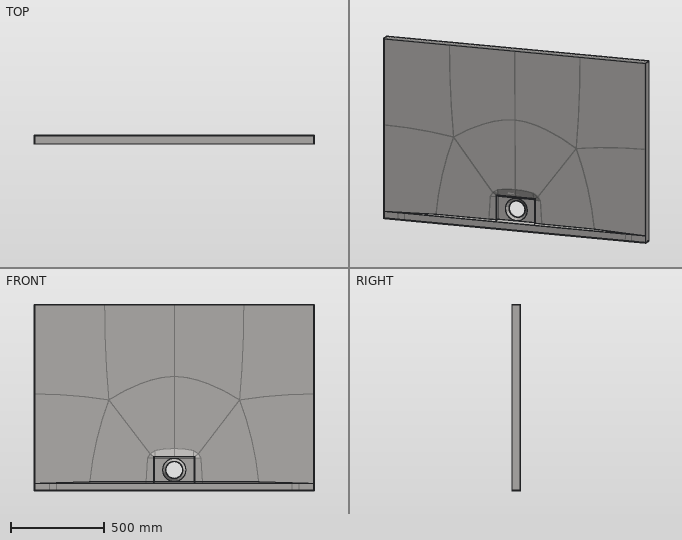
import cadquery as cq

width = 1500.0
height = 1000.0
depth = 48.0
rim_wall = 5.0
floor_wall = 4.0
edge_radius = 4.0

half_inner = width / 2 - rim_wall
inner_top = height - rim_wall

step_foot = 41.0
step_top = 50.0

ridge_rise = 3.0
arc_rise = 4.0
step_rise = 7.0
flare_rise = 10.0
box_foot_rise = 15.0
box_rise = 25.0
outlet_rise = 37.0

hub_x = -350.0
hub_z = 488.0
side_joint_z = 520.0
step_joint_x = -452.0
arc_top_z = 613.0

flare_foot_x = -151.0
flare_side_x = -143.0
flare_corner_x = -129.0
flare_corner_z = 199.0
flare_shoulder_x = -102.0
flare_shoulder_z = 217.0
flare_top_z = 227.0

upright_bend = (-367.0, 740.0, 1.5)
side_bend = (-540.0, 511.0, 1.5)
lower_bend = (-416.0, 270.0, 5.0)
crown_bend = (-180.0, 575.0, arc_rise)
crown_start_direction = cq.Vector(3, 0, 2)
flare_crown_bend = (-50.0, 225.0, flare_rise)

box_half = 105.0
box_top = 177.0
box_side_draft = 6.0
box_top_draft = 9.0
box_foot_half = box_half + box_side_draft
box_foot_top = box_top + box_top_draft

outlet_z = 113.0
outlet_base_radius = 62.0
outlet_tip_radius = 46.0
outlet_hole_radius = 44.5

wedge_rise = 2.5
wedge_end_rise = 1.0
wedge_flat_half = 630.0
wedge_end_half = 667.0


def point(x, z, rise=0.0):
    return cq.Vector(x, -floor_wall - rise, z)


def line(a, b):
    return cq.Edge.makeLine(a, b)


def bow(a, through, b):
    return cq.Edge.makeThreePointArc(a, through, b)


def patch(*edges):
    """Smooth face filling a closed loop of edges."""
    return cq.Face.makeNSidedSurface(list(edges), [])


def flat(*corners):
    """Planar polygon face."""
    return cq.Face.makeFromWires(cq.Wire.makePolygon(list(corners), close=True))


def half_floor_faces():
    """Underside faces of the -X half of the dished floor, and their outline along the rim."""
    rim_mid = point(0, inner_top)
    rim_quarter = point(-half_inner / 2, inner_top)
    rim_corner = point(-half_inner, inner_top)
    rim_side = point(-half_inner, side_joint_z)
    rim_foot = point(-half_inner, step_foot)

    hub = point(hub_x, hub_z, ridge_rise)
    arc_top = point(0, arc_top_z, arc_rise)

    flare_foot = point(flare_foot_x, step_top, flare_rise)
    flare_side = point(flare_side_x, box_top, flare_rise)
    flare_corner = point(flare_corner_x, flare_corner_z, flare_rise)
    flare_shoulder = point(flare_shoulder_x, flare_shoulder_z, flare_rise)
    flare_top = point(0, flare_top_z, flare_rise)

    foot_bottom = point(-box_foot_half, step_top, box_foot_rise)
    foot_side = point(-box_foot_half, box_top, box_foot_rise)
    foot_corner = point(-box_foot_half, box_foot_top, box_foot_rise)
    foot_shoulder = point(flare_shoulder_x, box_foot_top, box_foot_rise)
    foot_mid = point(0, box_foot_top, box_foot_rise)
    plateau_bottom = point(-box_half, step_top, box_rise)
    plateau_corner = point(-box_half, box_top, box_rise)
    plateau_mid_top = point(0, box_top, box_rise)
    plateau_mid_bottom = point(0, step_top, box_rise)

    step_joint = point(step_joint_x, step_top, step_rise)
    low_joint = point(step_joint_x, step_foot)
    low_flare = point(flare_foot_x, step_foot)
    low_box = point(-box_foot_half, step_foot)
    low_mid = point(0, step_foot)

    upright = bow(rim_quarter, point(*upright_bend), hub)
    side_seam = bow(rim_side, point(*side_bend), hub)
    lower_seam = bow(hub, point(*lower_bend), step_joint)
    crown = cq.Edge.makeSpline(
        [hub, point(*crown_bend), arc_top],
        tangents=[crown_start_direction, cq.Vector(1, 0, 0)],
    )
    spoke = line(hub, flare_corner)
    centre = line(arc_top, rim_mid)
    flare_left = line(flare_foot, flare_side)
    flare_low_corner = line(flare_side, flare_corner)
    flare_high_corner = line(flare_corner, flare_shoulder)
    flare_crown = bow(flare_shoulder, point(*flare_crown_bend), flare_top)
    side_rib = line(flare_side, foot_side)
    corner_rib = line(flare_corner, foot_corner)
    shoulder_rib = line(flare_shoulder, foot_shoulder)

    underside = [
        patch(line(rim_mid, rim_quarter), upright, crown, centre),
        patch(line(rim_quarter, rim_corner), line(rim_corner, rim_side), side_seam, upright),
        patch(line(rim_side, rim_foot), line(rim_foot, step_joint), lower_seam, side_seam),
        patch(lower_seam, line(step_joint, flare_foot), flare_left, flare_low_corner, spoke),
        patch(spoke, flare_high_corner, flare_crown, line(flare_top, arc_top), crown),
        patch(flare_left, side_rib, line(foot_side, foot_bottom), line(foot_bottom, flare_foot)),
        patch(flare_low_corner, corner_rib, line(foot_corner, foot_side), side_rib),
        patch(flare_high_corner, shoulder_rib, line(foot_shoulder, foot_corner), corner_rib),
        patch(flare_crown, line(flare_top, foot_mid), line(foot_mid, foot_shoulder), shoulder_rib),
        flat(foot_bottom, foot_side, foot_corner, plateau_corner, plateau_bottom),
        flat(foot_corner, foot_shoulder, foot_mid, plateau_mid_top, plateau_corner),
        flat(plateau_bottom, plateau_corner, plateau_mid_top, plateau_mid_bottom),
        flat(rim_foot, step_joint, low_joint),
        cq.Face.makeRuledSurface(line(low_joint, low_flare), line(step_joint, flare_foot)),
        cq.Face.makeRuledSurface(line(low_flare, low_box), line(flare_foot, foot_bottom)),
        flat(low_box, foot_bottom, plateau_bottom),
        flat(low_box, plateau_bottom, plateau_mid_bottom, low_mid),
    ]
    outline = [rim_mid, rim_quarter, rim_corner, rim_side, rim_foot, low_joint, low_flare, low_box, low_mid]
    return underside, outline


def dished_floor():
    """Floor of even thickness: the upper surface follows the underside."""
    back = cq.Vector(0, floor_wall, 0)
    underside, outline = half_floor_faces()
    half = underside + [face.translate(back) for face in underside]
    for start, end in zip(outline, outline[1:]):
        half.append(flat(start, end, end + back, start + back))
    mirrored = [face.mirror("YZ") for face in half]
    return cq.Workplane(cq.Solid.makeSolid(cq.Shell.makeShell(half + mirrored)))


def outlet_cone(rise_offset):
    """Cone standing on the box, lowered toward the back by rise_offset."""
    cone = cq.Solid.makeCone(
        outlet_base_radius,
        outlet_tip_radius,
        outlet_rise - box_rise,
        pnt=point(0, outlet_z, box_rise - rise_offset),
        dir=cq.Vector(0, -1, 0),
    )
    return cq.Workplane(cone)


def outlet_hole():
    return cq.Workplane("XZ", origin=(0, 0, outlet_z)).circle(outlet_hole_radius).extrude(depth)


def wedge_section(x, rise):
    """Triangle across the bottom strip, thickest at the step."""
    foot = cq.Vector(x, -floor_wall, rim_wall)
    corner = point(x, step_foot)
    crest = point(x, step_foot, rise)
    return cq.Wire.makePolygon([foot, corner, crest], close=True)


def strip_wedge():
    """Shallow slope on the bottom strip, easing to a gentler one at both ends."""
    sections = [
        wedge_section(-half_inner, wedge_end_rise),
        wedge_section(-wedge_end_half, wedge_end_rise),
        wedge_section(-wedge_flat_half, wedge_rise),
        wedge_section(wedge_flat_half, wedge_rise),
        wedge_section(wedge_end_half, wedge_end_rise),
        wedge_section(half_inner, wedge_end_rise),
    ]
    return cq.Workplane(cq.Solid.makeLoft(sections, True))


def box_between(bottom, top, front, back, half_width):
    """Block centred on X, from bottom to top in Z and front to back in Y."""
    block = cq.Workplane("XY", origin=(0, front, bottom))
    return block.box(2 * half_width, back - front, top - bottom, centered=(True, False, False))


def rim():
    """Rim with rounded back edges and corners, and the flat strip along its bottom."""
    block = box_between(0, height, -depth, 0, width / 2)
    block = block.edges("|Y").fillet(edge_radius)
    block = block.faces(">Y").edges().fillet(edge_radius)
    cavity = box_between(rim_wall, inner_top, -depth, -floor_wall, half_inner)
    window = box_between(step_foot, inner_top, -depth, 0, half_inner)
    return block.cut(cavity).cut(window)


tray = rim().union(strip_wedge()).union(dished_floor())
tray = tray.union(outlet_cone(0)).cut(outlet_cone(floor_wall)).cut(outlet_hole())
result = cq.Workplane(tray.solids().val())